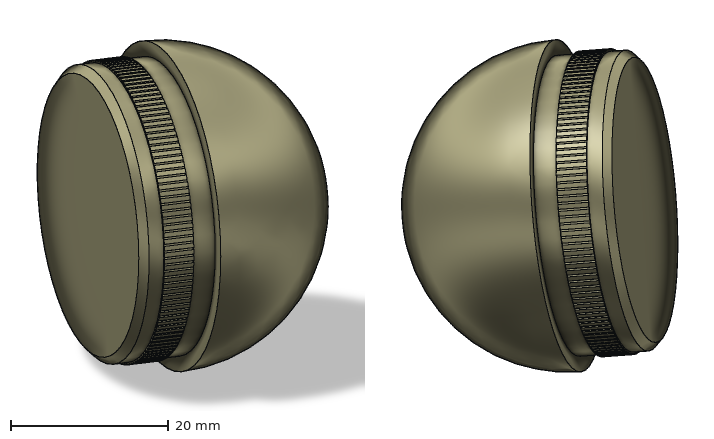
import cadquery as cq
import math

dome_radius = 21.2
plug_diameter = 38.4
plug_length = 10.0
plug_chamfer = 1.0

band_diameter = 39.0
band_width = 4.0

groove_count = 140
groove_radius = 0.13

plug_radius = plug_diameter / 2
band_radius = band_diameter / 2
band_top = -(plug_length - band_width) / 2


def domed_plug():
    """Hemisphere with a chamfered cylindrical plug below its flat face."""
    half_profile = (
        cq.Workplane("XY")
        .moveTo(0, -plug_length)
        .lineTo(plug_radius - plug_chamfer, -plug_length)
        .lineTo(plug_radius, -plug_length + plug_chamfer)
        .lineTo(plug_radius, 0)
        .lineTo(dome_radius, 0)
        .radiusArc((0, dome_radius), -dome_radius)
        .close()
    )
    return half_profile.revolve(360, (0, 0, 0), (0, 1, 0))


def rim_point(radius, angle):
    """Point at an angle on a circle around the part axis."""
    return (radius * math.cos(angle), radius * math.sin(angle))


def knurled_band():
    """Disc whose rim alternates narrow half-round grooves and wider lands."""
    pitch_angle = 2 * math.pi / groove_count
    half_groove_angle = groove_radius / band_radius
    groove_floor_radius = band_radius - groove_radius
    outline = cq.Workplane("XZ", origin=(0, band_top, 0))
    outline = outline.moveTo(*rim_point(band_radius, -half_groove_angle))
    for index in range(groove_count):
        groove_middle = index * pitch_angle
        groove_end = groove_middle + half_groove_angle
        land_middle = groove_middle + pitch_angle / 2
        land_end = groove_middle + pitch_angle - half_groove_angle
        outline = (
            outline
            .threePointArc(rim_point(groove_floor_radius, groove_middle), rim_point(band_radius, groove_end))
            .threePointArc(rim_point(band_radius, land_middle), rim_point(band_radius, land_end))
        )
    return outline.close().extrude(band_width)


result = domed_plug().union(knurled_band())